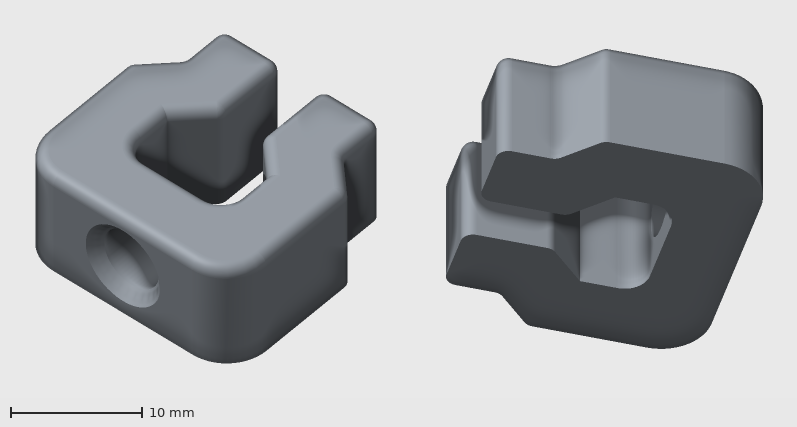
import cadquery as cq

width = 22.0
depth = 21.0
height = 10.0

arms_width = 16.0
shoulder_start = 13.5
shoulder_end = shoulder_start + (width - arms_width) / 2
outer_corner_radius = 4.0

base_wall = 6.0
cavity_width = 10.0
slot_width = 4.0
taper_start = 11.0
taper_end = taper_start + (cavity_width - slot_width) / 2
cavity_corner_radius = 2.0

edge_radius = 1.0

hole_diameter = 5.5
countersink_diameter = 7.5
countersink_depth = (countersink_diameter - hole_diameter) / 2


def mirrored(right_side):
    """Close a list of right-hand points with its mirror image across X = 0."""
    return right_side + [(-x, y) for x, y in reversed(right_side)]


def prism(points):
    return cq.Workplane("XY").polyline(points).close().extrude(height)


def edges_at(body, places):
    """Select the vertical edges passing through the given XY places."""
    edges = []
    for edge in body.edges("|Z").vals():
        center = edge.Center()
        if any(abs(center.x - x) + abs(center.y - y) < 0.002 for x, y in places):
            edges.append(edge)
    return edges


body_outline = mirrored([
    (width / 2, 0),
    (width / 2, shoulder_start),
    (arms_width / 2, shoulder_end),
    (arms_width / 2, depth),
])
cavity_outline = mirrored([
    (cavity_width / 2, base_wall),
    (cavity_width / 2, taper_start),
    (slot_width / 2, taper_end),
    (slot_width / 2, depth),
])

outer_block = prism(body_outline).edges("|Z and <Y").fillet(outer_corner_radius)
cavity = prism(cavity_outline).edges("|Z and <Y").fillet(cavity_corner_radius)
body = outer_block.cut(cavity)

small_rounds = mirrored([
    (width / 2, shoulder_start),
    (arms_width / 2, shoulder_end),
    (arms_width / 2, depth),
    (slot_width / 2, depth),
    (slot_width / 2, taper_end),
])
rounded_edges = edges_at(body, small_rounds) + body.faces(">Z").edges().vals()
body = body.newObject(rounded_edges).fillet(edge_radius)

hole_axis = cq.Vector(0, 0, height / 2)
inward = cq.Vector(0, 1, 0)
hole = cq.Solid.makeCylinder(hole_diameter / 2, taper_start, hole_axis, inward)
countersink = cq.Solid.makeCone(
    countersink_diameter / 2, hole_diameter / 2, countersink_depth, hole_axis, inward
)

result = body.cut(cq.Workplane(hole)).cut(cq.Workplane(countersink))